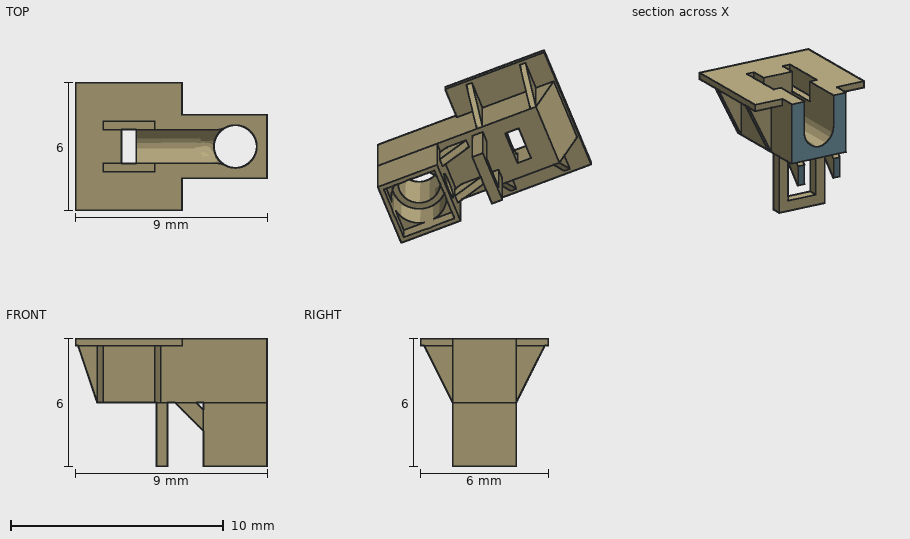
import cadquery as cq

length = 9.0
plate_width = 6.0
height = 6.0
block_size = 3.0
split_z = height / 2
block_x = length - block_size
bore_x = length - block_size / 2

plate_length = 5.0
plate_thickness = 0.32
nose_setback = 1.01
rib_thickness = 0.29
rib_starts = (nose_setback, 3.71)

channel_width = 1.58
tongue_end_x = 2.16
floor_start_x = 2.84
floor_edge_depth = 1.58
upper_bore_diameter = 2.0
mouth_fillet = 1.0

pocket_start_x = nose_setback + rib_thickness
pocket_end_x = rib_starts[1]
pocket_outer_width = 2.385
pocket_depth = 1.0

frame_x = 3.79
frame_thickness = 0.53
frame_width = 2.5
window_width = 1.53
window_sill = 0.52

lower_bore_diameter = 2.6
base_recess_size = 2.56
base_recess_height = 1.01
side_hole_diameter = 1.2
side_hole_z = 1.01

strut_outer_width = 2.32
strut_low_z = 1.665
strut_high_z = 2.655


def box(x0, x1, width, z0, z1):
    """Box between two X and two Z limits, centred on Y."""
    base = cq.Workplane("XY", origin=(x0, 0, z0))
    return base.box(x1 - x0, width, z1 - z0, centered=(False, True, False))


def make_bore(diameter, z0, z1):
    """Vertical cylinder on the bore axis."""
    return cq.Workplane("XY", origin=(bore_x, 0, z0)).circle(diameter / 2).extrude(z1 - z0)


def make_rib(x0):
    """Trapezoid web that widens from the housing to the plate edges."""
    half_top = plate_width / 2
    half_bottom = block_size / 2
    outline = [(-half_bottom, split_z), (half_bottom, split_z), (half_top, height), (-half_top, height)]
    return cq.Workplane("YZ", origin=(x0, 0, 0)).polyline(outline).close().extrude(rib_thickness)


def make_channel():
    """Slot with a half-round floor, running from the floor's start into the bore."""
    half_width = channel_width / 2
    edge_z = height - floor_edge_depth
    return (
        cq.Workplane("YZ", origin=(floor_start_x, 0, 0))
        .moveTo(-half_width, height)
        .lineTo(-half_width, edge_z)
        .threePointArc((0, edge_z - half_width), (half_width, edge_z))
        .lineTo(half_width, height)
        .close()
        .extrude(bore_x - floor_start_x)
    )


def make_frame():
    """Flat frame under the housing with a window that opens upward to the housing."""
    frame_end_x = frame_x + frame_thickness
    frame = box(frame_x, frame_end_x, frame_width, 0, split_z)
    return frame.cut(box(frame_x, frame_end_x, window_width, window_sill, split_z))


def make_mouth_selector():
    """Box around the edges where the channel meets the bore."""
    return cq.selectors.BoxSelector((block_x, -channel_width, split_z), (bore_x, channel_width, height))


def make_pockets():
    """Two shallow pockets, one along each side of the channel."""
    floor_z = height - pocket_depth
    return box(pocket_start_x, pocket_end_x, pocket_outer_width, floor_z, height).cut(
        box(pocket_start_x, pocket_end_x, channel_width, floor_z, height)
    )


def make_upper():
    """Housing with plate, ribs, channel, bore and hanging frame."""
    outline = [(0, height), (length, height), (length, split_z), (nose_setback, split_z)]
    body = cq.Workplane("XZ").polyline(outline).close().extrude(block_size / 2, both=True)

    bore = make_bore(upper_bore_diameter, split_z, height)
    body = body.cut(bore).cut(make_channel())
    body = body.edges(make_mouth_selector()).fillet(mouth_fillet)

    body = body.union(box(0, plate_length, plate_width, height - plate_thickness, height))
    for x0 in rib_starts:
        body = body.union(make_rib(x0))

    body = body.cut(box(tongue_end_x, floor_start_x, channel_width, split_z, height))
    body = body.cut(make_channel()).cut(make_pockets())
    return body.union(make_frame())


def make_struts():
    """Two 45 degree struts, one on each side of the channel width."""
    top_end_x = block_x - (split_z - strut_high_z)
    bottom_end_x = block_x - (split_z - strut_low_z)
    outline = [(block_x, strut_low_z), (block_x, strut_high_z), (top_end_x, split_z), (bottom_end_x, split_z)]
    beam = cq.Workplane("XZ").polyline(outline).close().extrude(strut_outer_width / 2, both=True)
    return beam.cut(box(bottom_end_x, block_x, channel_width, strut_low_z, split_z))


def make_lower():
    """Block with a vertical bore, square base recess, side hole and two diagonal struts."""
    block = box(block_x, length, block_size, 0, split_z)
    bore = make_bore(lower_bore_diameter, 0, split_z)
    recess_half = base_recess_size / 2
    recess = box(bore_x - recess_half, bore_x + recess_half, base_recess_size, 0, base_recess_height)
    side_hole = (
        cq.Workplane("YZ", origin=(block_x, 0, side_hole_z))
        .circle(side_hole_diameter / 2)
        .extrude(block_size / 2)
    )
    block = block.cut(bore).cut(recess).cut(side_hole)
    return block.union(make_struts())


upper = make_upper()
lower = make_lower()
result = cq.Compound.makeCompound([upper.val(), lower.val()])